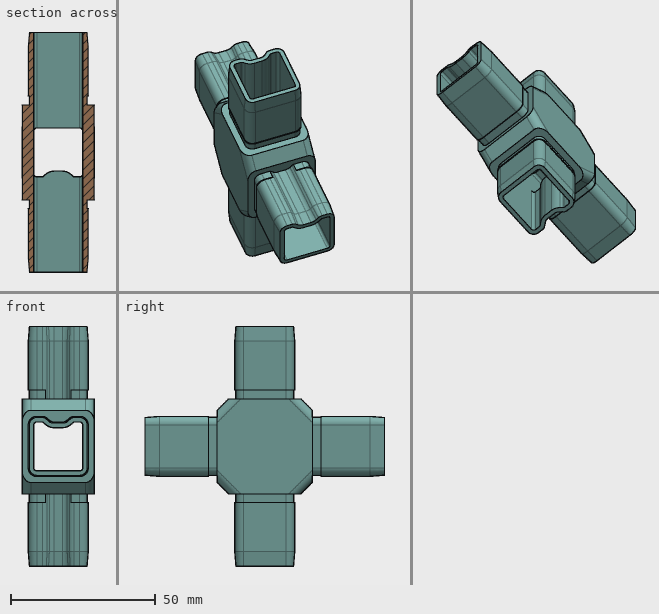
import cadquery as cq
import math

span = 83.0
hub_width = 25.0
hub_length = 32.95
hub_chamfer = (hub_length - hub_width) / 2
hub_edge_radius = 3.0

spigot_width = 20.8
spigot_corner_radius = 3.0
wall = 2.0

channel_depth = 2.0
channel_floor_half_width = 1.4
channel_radius = 2.5
channel_flank_angle = math.radians(42)

undercut_depth = 0.3
undercut_length = 3.0
taper_length = 5.1
taper_inset = 0.4

spigot_end = span / 2
taper_start = spigot_end - taper_length
undercut_end = hub_length / 2 + undercut_length


def channel_profile(plane, inset):
    """Wire of the square spigot section with its channel, shrunk evenly by inset.

    The channel is on the local +y side. All arc centres stay put as the inset changes.
    """
    half = spigot_width / 2 - inset
    corner = spigot_corner_radius - inset
    straight = half - corner
    diagonal = half - corner + corner * math.sqrt(0.5)

    rim_radius = channel_radius - inset
    floor_radius = channel_radius + inset
    floor_y = half - channel_depth

    arc_drop = 2 * channel_radius * (1 - math.cos(channel_flank_angle))
    arc_run = 2 * channel_radius * math.sin(channel_flank_angle)
    flank_run = (channel_depth - arc_drop) / math.tan(channel_flank_angle)
    rim_x = channel_floor_half_width + arc_run + flank_run

    def on_rim(angle):
        return (
            rim_x - rim_radius * math.sin(angle),
            half - rim_radius * (1 - math.cos(angle)),
        )

    def on_floor(angle):
        return (
            channel_floor_half_width + floor_radius * math.sin(angle),
            floor_y + floor_radius * (1 - math.cos(angle)),
        )

    def mirrored(point):
        return (-point[0], point[1])

    full = channel_flank_angle
    mid = full / 2
    return (
        cq.Workplane(plane)
        .moveTo(*on_floor(0))
        .threePointArc(on_floor(mid), on_floor(full))
        .lineTo(*on_rim(full))
        .threePointArc(on_rim(mid), on_rim(0))
        .lineTo(straight, half)
        .threePointArc((diagonal, diagonal), (half, straight))
        .lineTo(half, -straight)
        .threePointArc((diagonal, -diagonal), (straight, -half))
        .lineTo(-straight, -half)
        .threePointArc((-diagonal, -diagonal), (-half, -straight))
        .lineTo(-half, straight)
        .threePointArc((-diagonal, diagonal), (-straight, half))
        .lineTo(*mirrored(on_rim(0)))
        .threePointArc(mirrored(on_rim(mid)), mirrored(on_rim(full)))
        .lineTo(*mirrored(on_floor(full)))
        .threePointArc(mirrored(on_floor(mid)), mirrored(on_floor(0)))
        .close()
    )


def axis_plane(axis, offset):
    """Plane across a spigot axis, its local +y pointing to the channel side."""
    origin = tuple(offset * component for component in axis)
    return cq.Plane(origin=origin, xDir=(1, 0, 0), normal=axis)


def make_hub():
    """Block with slanted corners across X, rounded where the slants meet the flat X sides."""
    hub = cq.Workplane("XY").box(hub_width, hub_length, hub_length)
    hub = hub.edges("|X").chamfer(hub_chamfer)
    slant_edges = hub.edges("(not |X) and (not |Y) and (not |Z)")
    return slant_edges.fillet(hub_edge_radius)


def make_tip(axis, side):
    """Lead-in at one end of a spigot, narrowing towards the open end."""
    base = channel_profile(axis_plane(axis, side * taper_start), 0).val()
    end = channel_profile(axis_plane(axis, side * spigot_end), taper_inset).val()
    return cq.Workplane(cq.Solid.makeLoft([base, end], True))


def make_undercut(axis):
    """Material trimmed off the outer sides of both spigots of an axis next to the hub."""
    neck_width = spigot_width - 2 * undercut_depth
    base = axis_plane(axis, -undercut_end)
    neck = cq.Workplane(base).rect(neck_width, neck_width).extrude(2 * undercut_end)
    along_axis = cq.selectors.ParallelDirSelector(cq.Vector(axis))
    neck = neck.edges(along_axis).fillet(spigot_corner_radius - undercut_depth)
    sleeve = cq.Workplane(base).rect(hub_width, hub_width).extrude(2 * undercut_end)
    return sleeve.cut(neck)


def make_arm(axis):
    """Solid bar through the hub with a spigot at each end of the given axis."""
    arm = channel_profile(axis_plane(axis, -taper_start), 0).extrude(2 * taper_start)
    arm = arm.cut(make_undercut(axis))
    for side in (1, -1):
        arm = arm.union(make_tip(axis, side))
    return arm


def make_bore(axis):
    """Passage through both spigots of the given axis, leaving an even wall."""
    return channel_profile(axis_plane(axis, -spigot_end), wall).extrude(span)


axes = [(0, -1, 0), (0, 0, -1)]

result = make_hub()
for axis in axes:
    result = result.union(make_arm(axis))
for axis in axes:
    result = result.cut(make_bore(axis))